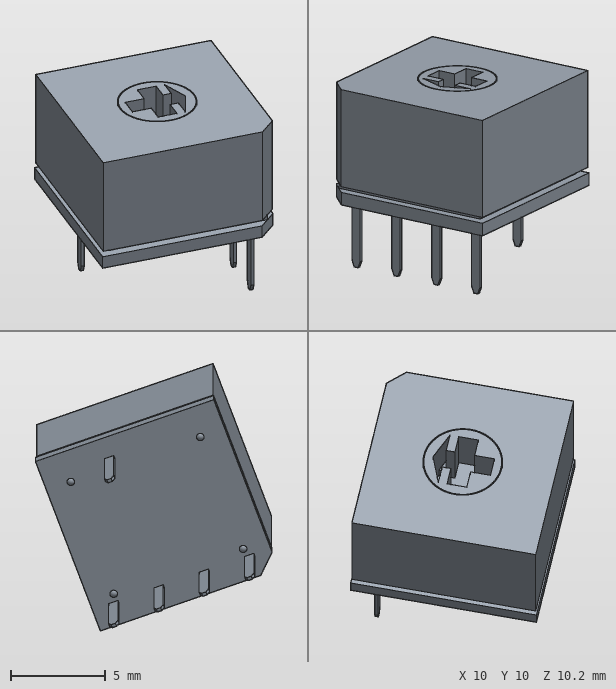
import cadquery as cq

PLATE_SIZE = 10.0
PLATE_HEIGHT = 0.7
CORNER_CUT = 1.0

NECK_SIZE = 9.0
NECK_HEIGHT = 0.3

HOUSING_SIZE = 9.9
HOUSING_HEIGHT = 5.4
TOP_Z = PLATE_HEIGHT + NECK_HEIGHT + HOUSING_HEIGHT

ROTOR_DIAMETER = 4.1
ROTOR_BORE_DIAMETER = 4.2
GAP_DEPTH = 1.0

CROSS_DEPTH = 2.5
ARROW_DEPTH = 2.0
CROSS_SPAN = 3.04
CROSS_ARM_WIDTH = 1.06
CROSS_BOTTOM_Y = -1.6
ARROW_BASE_Y = 1.0
ARROW_TIP_Y = 1.6

PIN_PITCH = 2.54
PIN_ROW_Y = 1.5 * PIN_PITCH
PIN_WIDTH = 0.53
PIN_THICKNESS = 0.18
PIN_LENGTH = 3.75
PIN_TAPER_LENGTH = 0.37
PIN_TIP_WIDTH = 0.24
BACK_ROW_STEPS = (-1.5, -0.5, 0.5, 1.5)
FRONT_ROW_STEPS = (-0.5,)
PIN_OVERLAP = 0.1

FOOT_X = 3.63
FOOT_Y = 3.3
FOOT_RADIUS = 0.2
FOOT_HEIGHT = 0.1


def square_block(size, bottom_z, height):
    """Square block centred on the Z axis."""
    return cq.Workplane("XY", origin=(0, 0, bottom_z)).rect(size, size).extrude(height)


def make_body():
    """Plate, neck and housing, all trimmed by one vertical corner cut."""
    plate = square_block(PLATE_SIZE, 0, PLATE_HEIGHT)
    neck = square_block(NECK_SIZE, PLATE_HEIGHT, NECK_HEIGHT)
    housing = square_block(HOUSING_SIZE, PLATE_HEIGHT + NECK_HEIGHT, HOUSING_HEIGHT)
    corner = PLATE_SIZE / 2
    corner_wedge = (
        cq.Workplane("XY")
        .moveTo(corner, corner)
        .lineTo(corner - CORNER_CUT, corner)
        .lineTo(corner, corner - CORNER_CUT)
        .close()
        .extrude(TOP_Z)
    )
    return plate.union(neck).union(housing).cut(corner_wedge)


def make_rotor_gap():
    """Ring-shaped gap around the rotor."""
    return (
        cq.Workplane("XY", origin=(0, 0, TOP_Z))
        .circle(ROTOR_BORE_DIAMETER / 2)
        .circle(ROTOR_DIAMETER / 2)
        .extrude(-GAP_DEPTH)
    )


def cut_from_top(outline, depth):
    """Solid to remove below the top face, within a closed outline."""
    return cq.Workplane("XY", origin=(0, 0, TOP_Z)).polyline(outline).close().extrude(-depth)


def make_recess():
    """Cross-shaped recess whose +Y arm ends in a shallower arrow head."""
    half_span = CROSS_SPAN / 2
    half_arm = CROSS_ARM_WIDTH / 2
    arrow_slope = (ARROW_TIP_Y - ARROW_BASE_Y) / half_span
    arm_end_y = ARROW_TIP_Y - arrow_slope * half_arm
    right_side = [
        (half_arm, CROSS_BOTTOM_Y),
        (half_arm, -half_arm),
        (half_span, -half_arm),
        (half_span, half_arm),
        (half_arm, half_arm),
        (half_arm, arm_end_y),
    ]
    left_side = [(-x, y) for x, y in reversed(right_side)]
    tip = (0, ARROW_TIP_Y)
    cross = cut_from_top(right_side + [tip] + left_side, CROSS_DEPTH)
    arrow = cut_from_top([(-half_span, ARROW_BASE_Y), (half_span, ARROW_BASE_Y), tip], ARROW_DEPTH)
    return cross.union(arrow)


def make_pin(x, y):
    """Flat pin below the plate, tapered in width at its lower end."""
    half_width = PIN_WIDTH / 2
    half_tip = PIN_TIP_WIDTH / 2
    taper_z = PIN_TAPER_LENGTH - PIN_LENGTH
    outline = [
        (-half_width, PIN_OVERLAP),
        (-half_width, taper_z),
        (-half_tip, -PIN_LENGTH),
        (half_tip, -PIN_LENGTH),
        (half_width, taper_z),
        (half_width, PIN_OVERLAP),
    ]
    return (
        cq.Workplane("XZ", origin=(x, y, 0))
        .polyline(outline)
        .close()
        .extrude(PIN_THICKNESS / 2, both=True)
    )


def make_foot(x, y):
    """Domed foot: a sphere sunk into the plate until only a cap shows below it."""
    sphere_radius = (FOOT_RADIUS**2 + FOOT_HEIGHT**2) / (2 * FOOT_HEIGHT)
    return cq.Workplane("XY", origin=(x, y, sphere_radius - FOOT_HEIGHT)).sphere(sphere_radius)


result = make_body().cut(make_rotor_gap()).cut(make_recess())

for step in BACK_ROW_STEPS:
    result = result.union(make_pin(step * PIN_PITCH, PIN_ROW_Y))

for step in FRONT_ROW_STEPS:
    result = result.union(make_pin(step * PIN_PITCH, -PIN_ROW_Y))

for foot_x in (-FOOT_X, FOOT_X):
    for foot_y in (-FOOT_Y, FOOT_Y):
        result = result.union(make_foot(foot_x, foot_y))